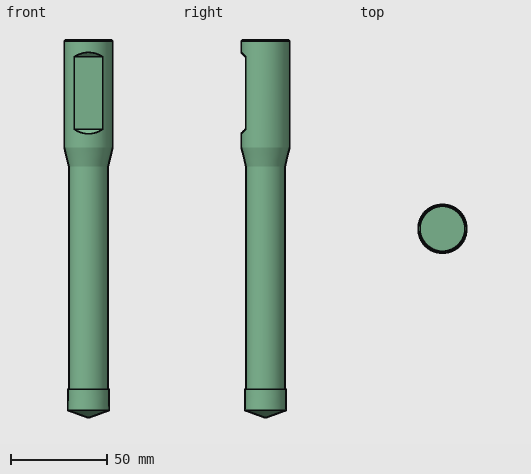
import cadquery as cq
import math

total_length = 196.5
top_z = total_length / 2
bottom_z = -total_length / 2

shank_diameter = 25.3
shank_radius = shank_diameter / 2
shank_length = 56.0
shank_chamfer = 1.0
taper_length = 10.0
neck_diameter = 20.5
neck_radius = neck_diameter / 2

head_diameter = 21.6
head_radius = head_diameter / 2
head_top_diameter = 21.5
head_top_radius = head_top_diameter / 2
head_length = 15.0
point_angle = 140.0
point_height = head_radius / math.tan(math.radians(point_angle / 2))
head_top_z = bottom_z + head_length

flat_depth = 2.4
flat_length = 37.5
flat_top_offset = 9.0

shank_bottom_z = top_z - shank_length
neck_top_z = shank_bottom_z - taper_length


def make_clamping_flat_cutter():
    floor_y = -shank_radius + flat_depth
    flat_top_z = top_z - flat_top_offset
    flat_bottom_z = flat_top_z - flat_length
    ramp = 2 * flat_depth
    return (
        cq.Workplane("YZ")
        .moveTo(floor_y, flat_top_z)
        .lineTo(floor_y - ramp, flat_top_z + ramp)
        .lineTo(floor_y - ramp, flat_bottom_z - ramp)
        .lineTo(floor_y, flat_bottom_z)
        .close()
        .extrude(shank_radius, both=True)
    )


def make_holder():
    blank = (
        cq.Workplane("XZ")
        .moveTo(0, head_top_z)
        .lineTo(neck_radius, head_top_z)
        .lineTo(neck_radius, neck_top_z)
        .lineTo(shank_radius, shank_bottom_z)
        .lineTo(shank_radius, top_z - shank_chamfer)
        .lineTo(shank_radius - shank_chamfer, top_z)
        .lineTo(0, top_z)
        .close()
        .revolve(360, (0, 0, 0), (0, 1, 0))
    )
    return blank.cut(make_clamping_flat_cutter())


def make_cutting_head():
    return (
        cq.Workplane("XZ")
        .moveTo(0, bottom_z)
        .lineTo(head_radius, bottom_z + point_height)
        .lineTo(head_top_radius, head_top_z)
        .lineTo(0, head_top_z)
        .close()
        .revolve(360, (0, 0, 0), (0, 1, 0))
    )


holder = make_holder()
cutting_head = make_cutting_head()

result = cq.Compound.makeCompound([holder.val(), cutting_head.val()])